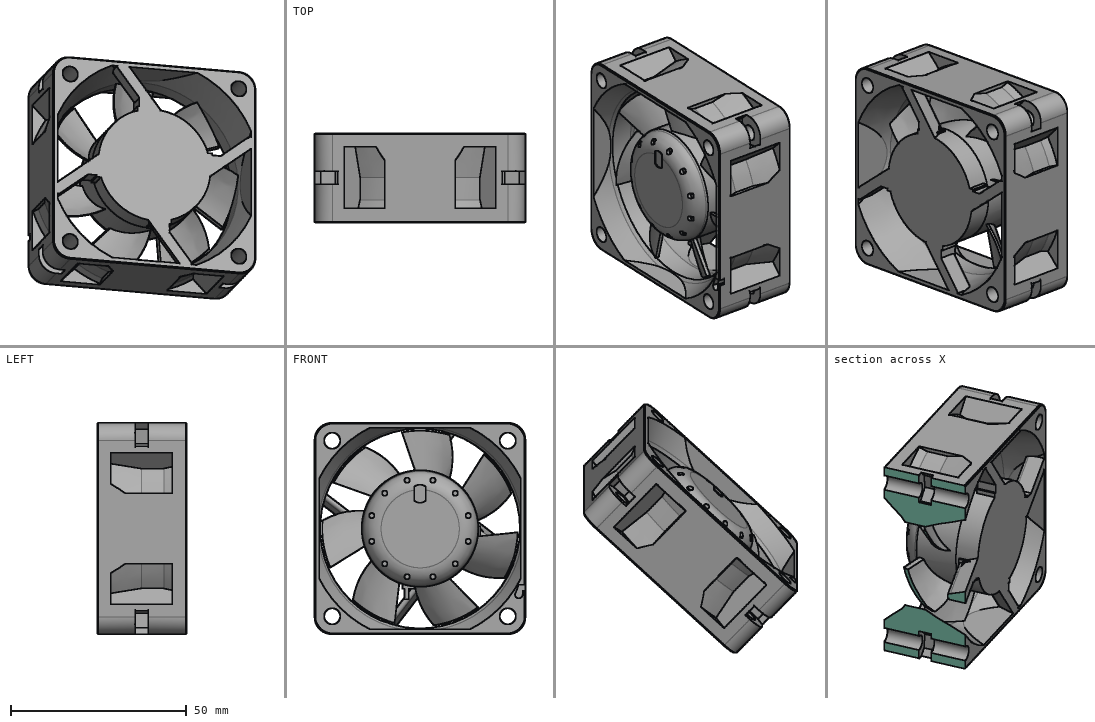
import math
import cadquery as cq

FRAME_WIDTH = 60.0
FRAME_HEIGHT = 60.15
FRAME_DEPTH = 25.5
CORNER_RADIUS = 5.0
EDGE_CHAMFER = 0.3
FRONT = -FRAME_DEPTH / 2
BACK = FRAME_DEPTH / 2
HALF_WIDTH = FRAME_WIDTH / 2

HOLE_OFFSET = 24.95
HOLE_DIAMETER = 4.5
NOTCH_FRONT_DEPTH = 11.0
NOTCH_WIDTH = 3.7
NOTCH_MOUTH = 23.4
NOTCH_BEND = 28.3
NOTCH_BOTTOM_NEAR = 21.05
NOTCH_BOTTOM_FAR = 24.05

DUCT_HALF_SQUARE = 28.65
FRONT_FLARE_RADIUS = 32.0
REAR_FLARE_RADIUS = 31.3
FRONT_FLARE_DEPTH = 5.55
LEAD_IN_RADIUS = 29.1
THROAT_START_DEPTH = 6.6
THROAT_RADIUS = 28.4
THROAT_END_DEPTH = 12.95

POCKET_INNER = 10.0
POCKET_OUTER = 21.6
POCKET_FRONT_DEPTH = 4.15
POCKET_BACK_DEPTH = 21.65
FLOOR_FRONT_RADIUS = 32.7
FLOOR_MID_RADIUS = 30.6
FLOOR_REAR_RADIUS = 33.45

WIRE_SLOT_DEPTH = 1.8
WIRE_SLOT_TOP = -15.95
WIRE_MOUTH_BOTTOM = -17.7
WIRE_SLOT_BOTTOM = -19.85
WIRE_SLOT_LEFT = 27.0
WIRE_SLOT_RIGHT = 29.2

BASE_RADIUS = 16.6
BASE_FRONT_DEPTH = 18.65
STRUT_COUNT = 4
STRUT_ANGLE = 52.5
STRUT_NEAR_OFFSET = 8.4
STRUT_NOSE_WIDTH = 1.7
STRUT_FAR_OFFSET = 11.55
STRUT_FRONT_DEPTH = 19.85
PAD_REACH = 17.15
PAD_START = -0.6
PAD_END = 5.0
RIB_REACH = 20.15
RIB_NEAR = 3.25
RIB_WIDTH = 1.2
WEB_SETBACK = 1.2

HUB_RADIUS = BASE_RADIUS
HUB_FRONT_DEPTH = 1.2
HUB_FLAT_RADIUS = 11.1
HUB_SHOULDER_RADIUS = 16.35
HUB_SHOULDER_DEPTH = 5.65
HUB_RIM_DEPTH = 6.3
DIMPLE_COUNT = 12
DIMPLE_CIRCLE_RADIUS = 14.2
DIMPLE_DIAMETER = 1.5
DIMPLE_FLOOR_DEPTH = 2.8
KEY_WIDTH = 3.25
KEY_BOTTOM = 7.35
KEY_TOP = 12.45
KEY_DEPTH = 0.25
KEY_BOW = 0.55

BLADE_COUNT = 7
BLADE_TIP_RADIUS = 27.85
NOSE_THICKNESS = 1.45
NOSE_SETBACK = 0.35
NOSE_MID_SETBACK = 0.05
TRAIL_THICKNESS = 0.9
BLADE_CAMBER = 1.5
BLADE_MID_ANGLE = 82.0
ROOT_SECTION = (15.05, 94.0, 59.0, 7.2, 15.95)
MIDDLE_SECTION = (22.0, 98.8, 66.0, 6.4, 15.35)
TIP_SECTION = (28.6, 101.5, 73.8, 5.55, 14.45)


def at_depth(depth):
    """Y position of a plane the given distance behind the front face."""
    return FRONT + depth


def prism(outline, start_depth, end_depth):
    """Extrude a closed XZ outline along Y between two depths."""
    plane = cq.Plane(origin=(0, at_depth(end_depth), 0), xDir=(1, 0, 0), normal=(0, -1, 0))
    return outline(cq.Workplane(plane)).extrude(end_depth - start_depth)


def block_xz(left, right, top, start_depth):
    """Block from the fan axis up to a height, running from a depth to the back face."""
    centre = ((left + right) / 2, top / 2)
    return prism(lambda w: w.center(*centre).rect(right - left, top), start_depth, FRAME_DEPTH)


def turned(points):
    """Revolve a (radius, depth) profile, closed on the axis, about Y."""
    profile = [(radius, at_depth(depth)) for radius, depth in points]
    return cq.Workplane("XY").polyline(profile).close().revolve(360, (0, 0, 0), (0, 1, 0))


def about_y(shape, angle):
    """Turn a shape about Y, anticlockwise as seen from the front."""
    return shape.rotate((0, 0, 0), (0, 1, 0), -angle)


def frame_block():
    block = cq.Workplane("XY").box(FRAME_WIDTH, FRAME_DEPTH, FRAME_HEIGHT)
    block = block.edges("|Y").fillet(CORNER_RADIUS)
    return block.faces("<Y or >Y").chamfer(EDGE_CHAMFER)


def duct():
    flow = turned([
        (0, 0),
        (FRONT_FLARE_RADIUS, 0),
        (LEAD_IN_RADIUS, FRONT_FLARE_DEPTH),
        (THROAT_RADIUS, THROAT_START_DEPTH),
        (THROAT_RADIUS, THROAT_END_DEPTH),
        (REAR_FLARE_RADIUS, FRAME_DEPTH),
        (0, FRAME_DEPTH),
    ])
    square = cq.Workplane("XY").box(2 * DUCT_HALF_SQUARE, FRAME_DEPTH, 2 * DUCT_HALF_SQUARE)
    return flow.intersect(square)


def mounting_holes():
    spots = [(sx * HOLE_OFFSET, sz * HOLE_OFFSET) for sx in (-1, 1) for sz in (-1, 1)]
    return prism(lambda w: w.pushPoints(spots).circle(HOLE_DIAMETER / 2), 0, FRAME_DEPTH)


def corner_notch():
    """Notch across the +X +Z corner, symmetric about the corner diagonal."""
    beyond = FRAME_HEIGHT
    lower_side = [
        (NOTCH_BOTTOM_FAR, NOTCH_BOTTOM_NEAR),
        (NOTCH_BEND, NOTCH_MOUTH - (HALF_WIDTH - NOTCH_BEND)),
        (HALF_WIDTH, NOTCH_MOUTH),
        (beyond, NOTCH_MOUTH),
    ]
    upper_side = [(z, x) for x, z in reversed(lower_side)]
    outline = lower_side + upper_side
    return prism(
        lambda w: w.polyline(outline).close(),
        NOTCH_FRONT_DEPTH,
        NOTCH_FRONT_DEPTH + NOTCH_WIDTH,
    )


def side_pocket():
    """Pocket in the top face on the +X side; its outer wall leans in at 45 degrees."""
    beyond = FRAME_HEIGHT
    outline = [
        (POCKET_INNER, beyond),
        (POCKET_INNER, HALF_WIDTH - POCKET_OUTER + POCKET_INNER),
        (POCKET_OUTER, HALF_WIDTH),
        (POCKET_OUTER, beyond),
    ]
    opening = prism(lambda w: w.polyline(outline).close(), POCKET_FRONT_DEPTH, POCKET_BACK_DEPTH)
    floor = turned([
        (0, 0),
        (FLOOR_FRONT_RADIUS, 0),
        (FLOOR_MID_RADIUS, THROAT_START_DEPTH),
        (FLOOR_MID_RADIUS, THROAT_END_DEPTH),
        (FLOOR_REAR_RADIUS, FRAME_DEPTH),
        (0, FRAME_DEPTH),
    ])
    return opening.cut(floor)


def wire_slot():
    radius = (WIRE_SLOT_RIGHT - WIRE_SLOT_LEFT) / 2
    middle = WIRE_SLOT_LEFT + radius
    arc_height = WIRE_SLOT_BOTTOM + radius

    def outline(w):
        return (
            w.moveTo(FRAME_WIDTH, WIRE_SLOT_TOP)
            .lineTo(middle, WIRE_SLOT_TOP)
            .lineTo(WIRE_SLOT_LEFT, arc_height)
            .threePointArc((middle, WIRE_SLOT_BOTTOM), (WIRE_SLOT_RIGHT, arc_height))
            .lineTo(WIRE_SLOT_RIGHT, WIRE_MOUTH_BOTTOM)
            .lineTo(FRAME_WIDTH, WIRE_MOUTH_BOTTOM)
            .close()
        )

    return prism(outline, 0, WIRE_SLOT_DEPTH)


def strut():
    """Strut along +X with a round front nose and a flank sloping back to its far side."""
    nose_radius = STRUT_NOSE_WIDTH / 2
    nose_centre = at_depth(STRUT_FRONT_DEPTH + nose_radius)
    nose_end = STRUT_NEAR_OFFSET + STRUT_NOSE_WIDTH
    bar = (
        cq.Workplane("YZ")
        .moveTo(BACK, STRUT_NEAR_OFFSET)
        .lineTo(nose_centre, STRUT_NEAR_OFFSET)
        .threePointArc(
            (nose_centre - nose_radius, STRUT_NEAR_OFFSET + nose_radius),
            (nose_centre, nose_end),
        )
        .lineTo(BACK, STRUT_FAR_OFFSET)
        .close()
        .extrude(HALF_WIDTH)
    )
    reach = prism(lambda w: w.circle(FLOOR_MID_RADIUS), 0, FRAME_DEPTH)
    return about_y(bar.intersect(reach), STRUT_ANGLE)


def gusset():
    """Flat pad on the +Z edge of the base, with a rib and thin web bracing the strut there."""
    pad = block_xz(PAD_START, PAD_END, PAD_REACH, STRUT_FRONT_DEPTH)
    rib = block_xz(RIB_NEAR, RIB_NEAR + RIB_WIDTH, RIB_REACH, STRUT_FRONT_DEPTH)
    outline = [(0, 0), (RIB_NEAR, 0), (RIB_NEAR, RIB_REACH), (0, PAD_REACH)]
    web = prism(
        lambda w: w.polyline(outline).close(), STRUT_FRONT_DEPTH + WEB_SETBACK, FRAME_DEPTH
    )
    return pad.union(rib).union(web)


def make_housing():
    housing = frame_block().cut(duct())
    housing = housing.cut(mounting_holes())
    mirrored_pocket = side_pocket().mirror("YZ")
    for quarter in range(4):
        angle = 90 * quarter
        housing = housing.cut(about_y(corner_notch(), angle))
        housing = housing.cut(about_y(side_pocket(), angle))
        housing = housing.cut(about_y(mirrored_pocket, angle))
    housing = housing.cut(wire_slot())
    base = prism(lambda w: w.circle(BASE_RADIUS), BASE_FRONT_DEPTH, FRAME_DEPTH)
    housing = housing.union(base)
    for number in range(STRUT_COUNT):
        angle = 360 / STRUT_COUNT * number
        housing = housing.union(about_y(strut(), angle))
        housing = housing.union(about_y(gusset(), angle))
    return housing


def hub():
    profile = (
        cq.Workplane("XY")
        .moveTo(0, at_depth(HUB_FRONT_DEPTH))
        .lineTo(HUB_FLAT_RADIUS, at_depth(HUB_FRONT_DEPTH))
        .tangentArcPoint((HUB_SHOULDER_RADIUS, at_depth(HUB_SHOULDER_DEPTH)), relative=False)
        .lineTo(HUB_RADIUS, at_depth(HUB_RIM_DEPTH))
        .lineTo(HUB_RADIUS, at_depth(BASE_FRONT_DEPTH))
        .lineTo(0, at_depth(BASE_FRONT_DEPTH))
        .close()
    )
    return profile.revolve(360, (0, 0, 0), (0, 1, 0))


def hub_dimples():
    def outline(w):
        half_step = 180 / DIMPLE_COUNT
        spots = w.polarArray(DIMPLE_CIRCLE_RADIUS, half_step, 360, DIMPLE_COUNT)
        return spots.circle(DIMPLE_DIAMETER / 2)

    return prism(outline, 0, DIMPLE_FLOOR_DEPTH)


def hub_key():
    """Shallow recess at the top of the hub face, with bowed ends."""
    half = KEY_WIDTH / 2

    def outline(w):
        return (
            w.moveTo(-half, KEY_BOTTOM + KEY_BOW)
            .threePointArc((0, KEY_BOTTOM), (half, KEY_BOTTOM + KEY_BOW))
            .lineTo(half, KEY_TOP - KEY_BOW)
            .threePointArc((0, KEY_TOP), (-half, KEY_TOP - KEY_BOW))
            .close()
        )

    return prism(outline, 0, HUB_FRONT_DEPTH + KEY_DEPTH)


def blade_section(radius, lead_angle, trail_angle, lead_depth, trail_depth):
    """Cambered section with a rounded leading edge, on the plane that stands this far out along +Z."""
    front_x = radius * math.tan(math.radians(BLADE_MID_ANGLE - lead_angle))
    front_y = at_depth(lead_depth)
    nose = (front_x + NOSE_MID_SETBACK, front_y + NOSE_THICKNESS / 2)
    rear = (front_x + NOSE_SETBACK, front_y + NOSE_THICKNESS)
    trail_x = radius * math.tan(math.radians(BLADE_MID_ANGLE - trail_angle))
    trail_y = at_depth(trail_depth)
    chord = math.hypot(trail_x - front_x, trail_y - front_y)
    bulge_x = (front_x + trail_x) / 2 + BLADE_CAMBER * (trail_y - front_y) / chord
    bulge_y = (front_y + trail_y) / 2 - BLADE_CAMBER * (trail_x - front_x) / chord
    return (
        cq.Workplane("XY", origin=(0, 0, radius))
        .moveTo(front_x, front_y)
        .threePointArc((bulge_x, bulge_y), (trail_x, trail_y))
        .line(0, TRAIL_THICKNESS)
        .threePointArc((bulge_x, bulge_y + NOSE_THICKNESS), rear)
        .threePointArc(nose, (front_x, front_y))
        .close()
        .val()
    )


def blade():
    sections = [blade_section(*s) for s in (ROOT_SECTION, MIDDLE_SECTION, TIP_SECTION)]
    loft = cq.Workplane(cq.Solid.makeLoft(sections))
    reach = prism(lambda w: w.circle(BLADE_TIP_RADIUS), 0, FRAME_DEPTH)
    return about_y(loft.intersect(reach), BLADE_MID_ANGLE - 90)


def make_rotor():
    rotor = hub().cut(hub_dimples()).cut(hub_key())
    for number in range(BLADE_COUNT):
        rotor = rotor.union(about_y(blade(), 360 / BLADE_COUNT * number))
    return rotor


housing = make_housing()
rotor = make_rotor()

result = cq.Compound.makeCompound([housing.solids().val(), rotor.solids().val()])